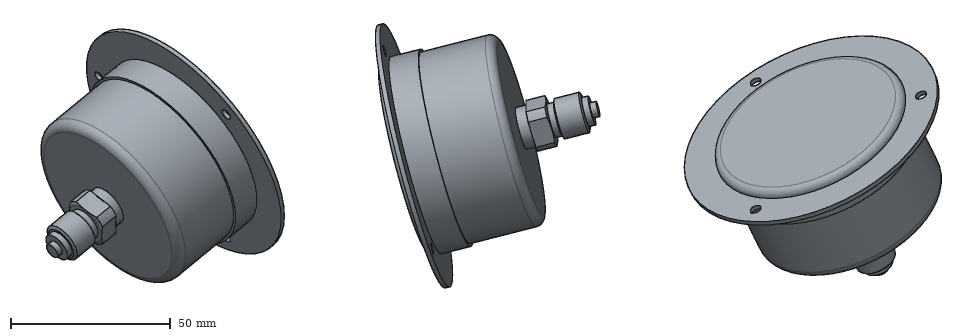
import cadquery as cq
import math


bezel_diameter = 63.8
bezel_depth = 13.5
bezel_edge_radius = 2.5
flange_diameter = 85.0
flange_thickness = 1.5
flange_front = bezel_edge_radius
case_diameter = 62.0
case_edge_radius = 3.0
case_back = 38.0

hole_diameter = 3.6
hole_circle_radius = 37.0
hole_count = 3
first_hole_angle = 60.0

neck_diameter = 13.5
square_front = 41.5
square_back = 48.0
thread_diameter = 13.16
thread_core_diameter = 11.0
thread_chamfer_length = 0.5
thread_front = 50.0
thread_back = 59.0
spigot_diameter = 9.5
spigot_back = 61.0
tip_diameter = 5.0
tip_back = 63.0

square_width = 14.0
square_corner_diameter = 16.6
square_chamfer_angle = 15.0


def disc(diameter, front, back):
    """Cylinder on the gauge axis between two distances behind the dial face."""
    plane = cq.Workplane("XZ", origin=(0, -front, 0))
    return plane.circle(diameter / 2).extrude(back - front)


def make_bezel():
    return disc(bezel_diameter, 0, bezel_depth).faces(">Y").edges().fillet(bezel_edge_radius)


def make_case():
    return disc(case_diameter, flange_front, case_back).faces("<Y").edges().fillet(case_edge_radius)


def make_flange():
    flange_back = flange_front + flange_thickness
    flange = disc(flange_diameter, flange_front, flange_back)
    holes = (
        cq.Workplane("XZ", origin=(0, -flange_front, 0))
        .polarArray(hole_circle_radius, first_hole_angle, 360, hole_count)
        .circle(hole_diameter / 2)
        .extrude(flange_thickness)
    )
    return flange.cut(holes)


def make_wrench_square():
    """Square with turned corners and a conical chamfer on its rear end."""
    corner_radius = square_corner_diameter / 2
    flat_radius = square_width / 2
    chamfer_length = (corner_radius - flat_radius) * math.tan(math.radians(square_chamfer_angle))
    turned_blank = (
        cq.Workplane("XY")
        .moveTo(0, -square_front)
        .lineTo(corner_radius, -square_front)
        .lineTo(corner_radius, -square_back + chamfer_length)
        .lineTo(flat_radius, -square_back)
        .lineTo(0, -square_back)
        .close()
        .revolve(360, (0, 0, 0), (0, 1, 0))
    )
    square_bar = (
        cq.Workplane("XZ", origin=(0, -square_front, 0))
        .rect(square_width, square_width)
        .extrude(square_back - square_front)
    )
    return turned_blank.intersect(square_bar)


def make_thread():
    """Plain cylinder at the thread diameter, tapering to the core at both ends."""
    radius = thread_diameter / 2
    core_radius = thread_core_diameter / 2
    return (
        cq.Workplane("XY")
        .moveTo(0, -thread_front)
        .lineTo(core_radius, -thread_front)
        .lineTo(radius, -thread_front - thread_chamfer_length)
        .lineTo(radius, -thread_back + thread_chamfer_length)
        .lineTo(core_radius, -thread_back)
        .lineTo(0, -thread_back)
        .close()
        .revolve(360, (0, 0, 0), (0, 1, 0))
    )


def make_stem():
    neck = disc(neck_diameter, case_back, square_front)
    relief = disc(thread_core_diameter, square_back, thread_front)
    spigot = disc(spigot_diameter, thread_back, spigot_back)
    tip = disc(tip_diameter, spigot_back, tip_back)
    return neck.union(make_wrench_square()).union(relief).union(make_thread()).union(spigot).union(tip)


result = make_bezel().union(make_case()).union(make_flange()).union(make_stem())